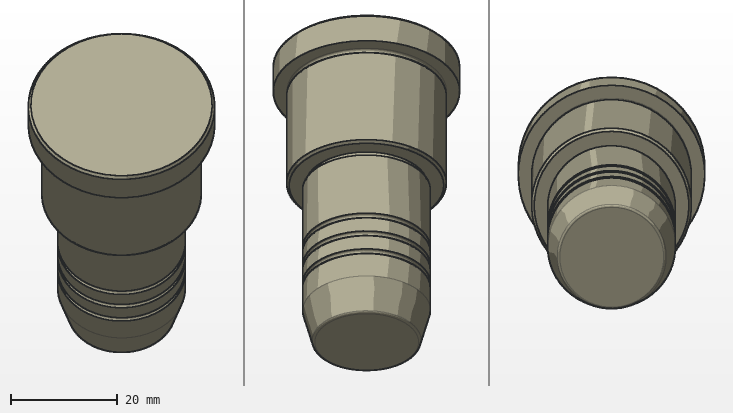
import cadquery as cq
import math

total_length = 62.0

head_diameter = 35.0
head_height = 6.0
body_diameter = 30.0
body_length = 21.0
neck_diameter = 23.0
neck_length = 1.0
shank_diameter = 24.0
edge_chamfer = 0.5

tip_length = 7.0
tip_angle = 15.0
tip_fillet = 0.5

groove_radius = 0.5
shank_groove_count = 3
shank_groove_pitch = 4.0
lowest_groove_height = 12.5

head_bottom = total_length - head_height
body_bottom = head_bottom - body_length
shank_top = body_bottom - neck_length
tip_end_radius = shank_diameter / 2 - tip_length * math.tan(math.radians(tip_angle))


def disc(diameter, bottom, top):
    """Cylinder on the Z axis between two heights."""
    return cq.Workplane("XY").workplane(offset=bottom).circle(diameter / 2).extrude(top - bottom)


def round_groove(diameter, height):
    """Ring cutter of circular section, leaving a half-round groove centred on the given height."""
    return cq.Workplane("XY").add(cq.Solid.makeTorus(diameter / 2, groove_radius, cq.Vector(0, 0, height)))


def make_head():
    return disc(head_diameter, head_bottom, total_length).faces(">Z").edges().chamfer(edge_chamfer)


def make_body():
    """Cylinder under the head, chamfered below and grooved against the head."""
    body = disc(body_diameter, body_bottom, head_bottom).faces("<Z").edges().chamfer(edge_chamfer)
    return body.cut(round_groove(body_diameter, head_bottom - groove_radius))


def make_shank():
    """Grooved cylinder with a rounded conical tip."""
    shank = disc(shank_diameter, tip_length, shank_top)
    tip = (
        cq.Workplane("XY")
        .circle(tip_end_radius)
        .extrude(tip_length, taper=-tip_angle)
        .faces("<Z")
        .edges()
        .fillet(tip_fillet)
    )
    shank = shank.union(tip)
    for index in range(shank_groove_count):
        height = lowest_groove_height + index * shank_groove_pitch
        shank = shank.cut(round_groove(shank_diameter, height))
    return shank


neck = disc(neck_diameter, shank_top, body_bottom)

result = make_head().union(make_body()).union(neck).union(make_shank())